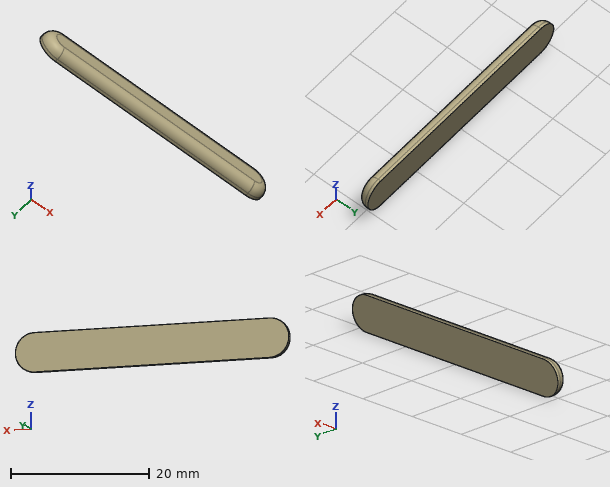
import cadquery as cq

length = 41.8
width = 5.8
thickness = 2.0
edge_radius = 1.5

bar = cq.Workplane("XZ").slot2D(length, width).extrude(thickness)

result = bar.faces("<Y").edges().fillet(edge_radius)